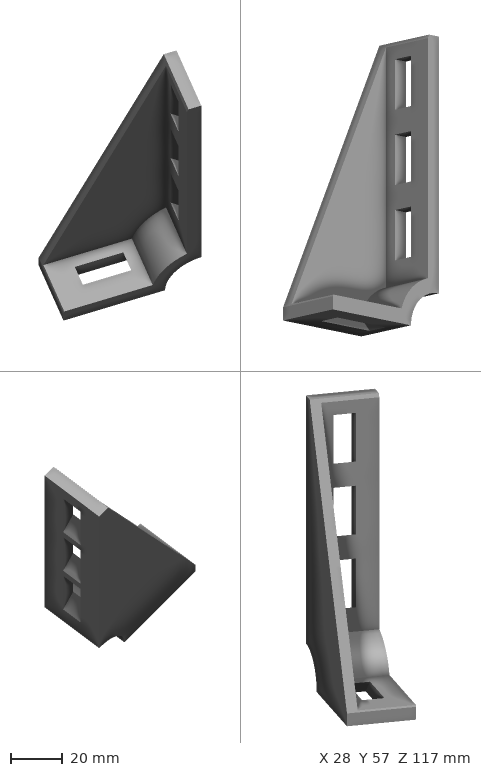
import cadquery as cq

width = 28.0
depth = 57.0
height = 117.0

plate = 6.0
rib = 4.5
tip = 5.3

relief_radius = 15.0
corner_radius = relief_radius + plate

slot_width = 9.0
slot_length = 20.0
slot_flare = plate
slot_pitch = 30.0
upright_slot_count = 3
lowest_slot_start = 30.1
base_slot_start = 25.5



def prism(points, x_start, length):
    """Extrude a closed (y, z) outline along +X."""
    return cq.Workplane("YZ", origin=(x_start, 0, 0)).polyline(points).close().extrude(length)


def corner_cylinder(radius):
    """Full-width cylinder along X, centred on the outer corner."""
    return cq.Workplane("YZ").circle(radius).extrude(width)


def slot_section(start):
    """Slot outline as (distance along the plate from the corner, height above its outer face)."""
    end = start + slot_length
    return [
        (start - slot_flare, 0),
        (end, 0),
        (end, plate),
        (start, plate),
    ]


def slot_cutter(points):
    """Slot body with the given (y, z) outline, centred across the width."""
    return prism(points, (width - slot_width) / 2, slot_width)


side_outline = [
    (0, 0),
    (-depth, 0),
    (-depth, tip),
    (-tip, height),
    (0, height),
]
wedge = prism(side_outline, 0, width)

hollow_outline = [
    (-plate, plate),
    (-depth, plate),
    (-depth, height),
    (-plate, height),
]
hollow = prism(hollow_outline, rib, width - rib).cut(corner_cylinder(corner_radius))

result = wedge.cut(hollow).cut(corner_cylinder(relief_radius))

for index in range(upright_slot_count):
    section = slot_section(lowest_slot_start + index * slot_pitch)
    result = result.cut(slot_cutter([(-across, along) for along, across in section]))

result = result.cut(slot_cutter([(-along, across) for along, across in slot_section(base_slot_start)]))